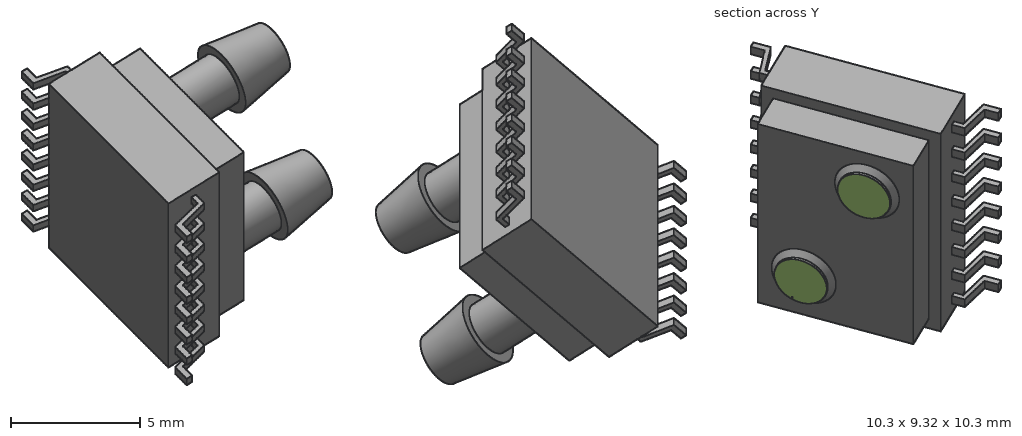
import cadquery as cq

BASE_WIDTH = 7.5
BASE_HEIGHT = 10.26
BASE_DEPTH = 2.5
CAP_INSET = 0.5
CAP_DEPTH = 1.6
CAP_BACK = BASE_DEPTH + CAP_DEPTH

STEM_DIAMETER = 2.21
COLLAR_SIZE = 0.24
BARB_ROOT_DIAMETER = 3.0
BARB_TIP_DIAMETER = STEM_DIAMETER
STEM_LENGTH = 2.5
BARB_LENGTH = 2.5
PORT_SPACING_X = 2.64
PORT_SPACING_Z = 5.3
PORT_CENTRE_Z = 0.03

LEAD_COUNT = 8
LEAD_PITCH = 1.27
LEAD_WIDTH = 0.4
LEAD_SPAN = 10.34
SHOULDER_THICKNESS = 0.21
FOOT_THICKNESS = 0.27
FOOT_DROP = 0.22
SHOULDER_BACK = 1.34
FOOT_LENGTH = 0.73
SHOULDER_LENGTH = 0.535
LEG_WIDTH = 0.15


def make_body():
    """Base block with a smaller cap block centred on its back."""
    base = cq.Workplane("XY").box(BASE_WIDTH, BASE_DEPTH, BASE_HEIGHT, centered=(True, False, True))
    cap_width = BASE_WIDTH - 2 * CAP_INSET
    cap_height = BASE_HEIGHT - 2 * CAP_INSET
    cap = cq.Workplane("XY").box(cap_width, CAP_DEPTH, cap_height, centered=(True, False, True))
    return base.union(cap.translate((0, BASE_DEPTH, 0)))


def make_port(x, z):
    """Solid barbed port turned about an axis parallel to Y."""
    stem_radius = STEM_DIAMETER / 2
    barb_start = CAP_BACK + STEM_LENGTH
    barb_end = barb_start + BARB_LENGTH
    profile = (
        cq.Workplane("XY")
        .moveTo(0, CAP_BACK)
        .lineTo(stem_radius + COLLAR_SIZE, CAP_BACK)
        .lineTo(stem_radius, CAP_BACK + COLLAR_SIZE)
        .lineTo(stem_radius, barb_start)
        .lineTo(BARB_ROOT_DIAMETER / 2, barb_start)
        .lineTo(BARB_TIP_DIAMETER / 2, barb_end)
        .lineTo(0, barb_end)
        .close()
    )
    return profile.revolve(360, (0, 0, 0), (0, 1, 0)).translate((x, 0, z))


def make_right_lead():
    """One lead on the +X side, centred on z = 0."""
    side = BASE_WIDTH / 2
    tip = LEAD_SPAN / 2
    foot_front = -FOOT_DROP
    foot_back = foot_front + FOOT_THICKNESS
    shoulder_front = SHOULDER_BACK - SHOULDER_THICKNESS
    shoulder_end = side + SHOULDER_LENGTH
    heel = tip - FOOT_LENGTH
    outline = [
        (side, SHOULDER_BACK),
        (shoulder_end, SHOULDER_BACK),
        (heel + LEG_WIDTH, foot_back),
        (tip, foot_back),
        (tip, foot_front),
        (heel, foot_front),
        (shoulder_end - LEG_WIDTH, shoulder_front),
        (side, shoulder_front),
    ]
    return cq.Workplane("XY").polyline(outline).close().extrude(LEAD_WIDTH / 2, both=True)


result = make_body()

for port_side in (-1, 1):
    port_x = port_side * PORT_SPACING_X / 2
    port_z = PORT_CENTRE_Z - port_side * PORT_SPACING_Z / 2
    result = result.union(make_port(port_x, port_z))

right_lead = make_right_lead()
left_lead = right_lead.mirror("YZ")
for index in range(LEAD_COUNT):
    lead_z = (index - (LEAD_COUNT - 1) / 2) * LEAD_PITCH
    for lead in (left_lead, right_lead):
        result = result.union(lead.translate((0, 0, lead_z)))